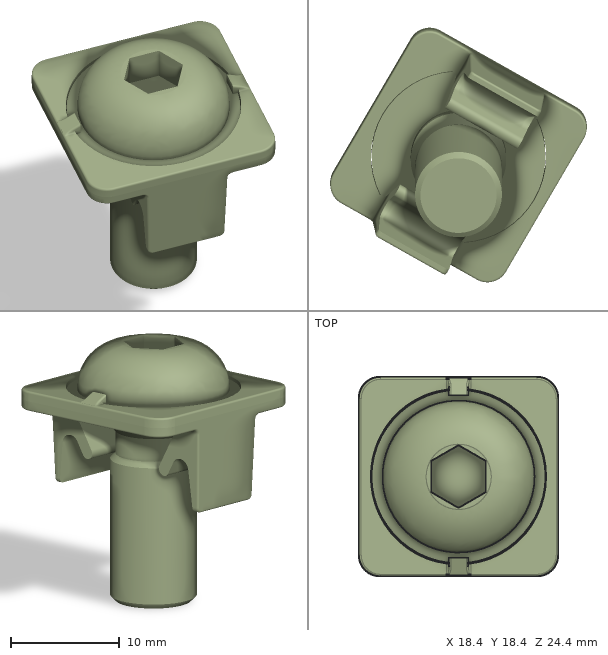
import cadquery as cq
import math

total_height = 24.4
plate_size = 18.4

plate_top = 20.2
plate_thickness = 1.85
plate_corner_radius = 2.0
plate_edge_fillet = 0.2
draft_angle = 2.0
plate_bore_diameter = 16.15
plate_bottom = plate_top - plate_thickness
plate_middle = (plate_top + plate_bottom) / 2

flange_diameter = 16.0
flange_top = 19.9
head_diameter = 14.0
dome_base = 20.25
crown_flat_diameter = 6.0
shoulder_diameter = 8.8
shoulder_bottom = 16.98
neck_diameter = 7.0
neck_top = 16.08
neck_bottom = 13.93
shank_diameter = 8.0
shank_chamfer = (shank_diameter - neck_diameter) / 2
hex_across_flats = 5.0
hex_depth = 3.2

leg_bottom = 10.32
leg_root_half_width = 3.95
leg_end_half_width = 3.73
leg_root_fillet = 0.51
leg_corner_radius = 0.5
blade_bottom_x = 8.27
blade_slope_angle = 6.6
toe_center_x = 4.75
toe_center_z = 13.83
toe_radius = 0.6
toe_angle = 30.0
arch_radius = 1.0

tab_width = 1.78
tab_inner_y = 7.47
tab_height = 0.75
tab_outer_y = 9.08
tab_edge_fillet = 0.2
tab_base_fillet = 0.22

edge_tolerance = 0.002


def leg_side_profile():
    """Blade and inclined toe of the +X leg, extruded along Y with the arch between them rounded."""
    sin_toe = math.sin(math.radians(toe_angle))
    cos_toe = math.cos(math.radians(toe_angle))
    toe_slope = math.tan(math.radians(toe_angle))
    blade_slope = math.tan(math.radians(blade_slope_angle))

    toe_upper = (toe_center_x - toe_radius * cos_toe, toe_center_z + toe_radius * sin_toe)
    toe_lower = (toe_center_x + toe_radius * cos_toe, toe_center_z - toe_radius * sin_toe)
    toe_tip = (toe_center_x - toe_radius * sin_toe, toe_center_z - toe_radius * cos_toe)
    root_x = toe_upper[0] + (plate_bottom - toe_upper[1]) * toe_slope

    blade_x = blade_bottom_x - (toe_lower[1] - leg_bottom) * blade_slope
    apex_rise = (blade_x - toe_lower[0]) / (toe_slope + blade_slope)
    apex = (toe_lower[0] + apex_rise * toe_slope, toe_lower[1] + apex_rise)

    leg = (
        cq.Workplane("XZ")
        .moveTo(plate_size, plate_bottom)
        .lineTo(root_x, plate_bottom)
        .lineTo(*toe_upper)
        .threePointArc(toe_tip, toe_lower)
        .lineTo(*apex)
        .lineTo(blade_bottom_x, leg_bottom)
        .lineTo(plate_size, leg_bottom)
        .close()
        .extrude(plate_size / 2, both=True)
    )
    apex_edge = cq.selectors.NearestToPointSelector((apex[0], 0, apex[1]))
    return leg.edges("|Y").edges(apex_edge).fillet(arch_radius)


def leg_front_profile():
    """Tapered leg width with rounded lower corners, flared where it runs into the plate."""
    flare = leg_root_fillet
    bend = flare * (1 - math.sqrt(0.5))
    root = leg_root_half_width
    panel = (
        cq.Workplane("YZ")
        .moveTo(root + flare, plate_bottom)
        .threePointArc((root + bend, plate_bottom - bend), (root, plate_bottom - flare))
        .lineTo(leg_end_half_width, leg_bottom)
        .lineTo(-leg_end_half_width, leg_bottom)
        .lineTo(-root, plate_bottom - flare)
        .threePointArc((-root - bend, plate_bottom - bend), (-root - flare, plate_bottom))
        .close()
        .extrude(plate_size)
    )
    return panel.edges("|X").edges("<Z").fillet(leg_corner_radius)


def drafted_block(height):
    """Rounded square growing from the plate mid plane, narrowing with the draft.

    A negative height goes down.
    """
    outline = cq.Sketch().rect(plate_size, plate_size).vertices().fillet(plate_corner_radius)
    return cq.Workplane("XY", origin=(0, 0, plate_middle)).placeSketch(outline).extrude(
        height, taper=draft_angle
    )


def make_plate():
    """Square plate with its two legs, whose outer faces continue the drafted plate sides."""
    upper = drafted_block(plate_thickness / 2).faces(">Z").edges().fillet(plate_edge_fillet)

    slab = (
        cq.Workplane("XY", origin=(0, 0, plate_bottom))
        .rect(plate_size, plate_size)
        .extrude(plate_thickness / 2)
    )
    leg = leg_side_profile().intersect(leg_front_profile())
    envelope = slab.union(leg).union(leg.mirror("YZ"))
    block = drafted_block(-plate_middle)
    lower = block.intersect(envelope)

    sides = block.val().Shells()[0]
    outline = [
        edge
        for edge in lower.edges().vals()
        if edge.BoundingBox().zmax < plate_bottom + edge_tolerance
        and sides.distance(cq.Vertex.makeVertex(*edge.positionAt(0.5).toTuple())) < edge_tolerance
    ]
    plate = upper.union(lower.newObject(outline).fillet(plate_edge_fillet), clean=False)

    bore = (
        cq.Workplane("XY", origin=(0, 0, plate_bottom))
        .circle(plate_bore_diameter / 2)
        .extrude(plate_thickness)
    )
    return plate.cut(bore)


def make_screw():
    """Flanged button-head screw with a relieved neck and a hexagon socket."""
    head_radius = head_diameter / 2
    crown_radius = crown_flat_diameter / 2

    dome_width = head_radius - crown_radius
    dome_height = total_height - dome_base
    dome_radius = (dome_width**2 + dome_height**2) / (2 * dome_width)
    bend = dome_radius * math.sqrt(0.5)
    dome_middle = (head_radius - dome_radius + bend, dome_base + bend)

    shank_radius = shank_diameter / 2
    neck_radius = neck_diameter / 2
    shoulder_radius = shoulder_diameter / 2
    flange_radius = flange_diameter / 2

    body = (
        cq.Workplane("XZ")
        .moveTo(0, 0)
        .lineTo(shank_radius - shank_chamfer, 0)
        .lineTo(shank_radius, shank_chamfer)
        .lineTo(shank_radius, neck_bottom - shank_chamfer)
        .lineTo(neck_radius, neck_bottom)
        .lineTo(neck_radius, neck_top)
        .lineTo(shoulder_radius, shoulder_bottom)
        .lineTo(shoulder_radius, plate_bottom)
        .lineTo(flange_radius, plate_bottom)
        .lineTo(flange_radius, flange_top)
        .lineTo(head_radius, flange_top)
        .lineTo(head_radius, dome_base)
        .threePointArc(dome_middle, (crown_radius, total_height))
        .lineTo(0, total_height)
        .close()
        .revolve(360, (0, 0, 0), (0, 1, 0))
    )
    socket = (
        cq.Workplane("XY", origin=(0, 0, total_height))
        .polygon(6, hex_across_flats / math.cos(math.pi / 6))
        .extrude(-hex_depth)
        .rotate((0, 0, 0), (0, 0, 1), 30)
    )
    return body.cut(socket)


def make_tab():
    """Wedge on the +Y plate edge that reaches over the flange, its flanks flared onto the plate."""
    half_width = tab_width / 2
    flare = tab_base_fillet
    bend = flare * (1 - math.sqrt(0.5))
    tip_z = plate_top + tab_height
    tongue_height = tip_z - flange_top

    wedge = (
        cq.Workplane("YZ")
        .moveTo(tab_inner_y, flange_top)
        .lineTo(tab_inner_y, tip_z)
        .lineTo(tab_outer_y, plate_top)
        .lineTo(tab_outer_y, flange_top)
        .close()
        .extrude(tab_width, both=True)
    )
    flared_section = (
        cq.Workplane("XZ")
        .moveTo(half_width + flare, plate_top)
        .threePointArc((half_width + bend, plate_top + bend), (half_width, plate_top + flare))
        .lineTo(half_width, tip_z)
        .lineTo(-half_width, tip_z)
        .lineTo(-half_width, plate_top + flare)
        .threePointArc((-half_width - bend, plate_top + bend), (-half_width - flare, plate_top))
        .close()
        .extrude(-plate_size / 2)
    )
    above_flange = cq.Workplane("XY", origin=(0, 0, flange_top))
    tongue = above_flange.rect(tab_width, plate_size).extrude(tongue_height)
    over_bore = above_flange.circle(plate_bore_diameter / 2).extrude(tongue_height)

    return wedge.intersect(flared_section.cut(over_bore).union(tongue))


def round_tab_ridge(part, side_x, side_y):
    """Round one long upper edge of a tab, on down the flare to the plate."""
    ridge_drop = tab_height - tab_base_fillet
    ridge_run = (tab_outer_y - tab_inner_y) * ridge_drop / tab_height
    ridge_middle = (
        side_x * tab_width / 2,
        side_y * (tab_inner_y + ridge_run / 2),
        plate_top + tab_height - ridge_drop / 2,
    )
    ridge = cq.selectors.NearestToPointSelector(ridge_middle)
    return part.edges(ridge).fillet(tab_edge_fillet)


tab = make_tab()
result = make_plate().union(make_screw()).union(tab).union(tab.mirror("XZ"))
for side_x in (-1, 1):
    for side_y in (-1, 1):
        result = round_tab_ridge(result, side_x, side_y)